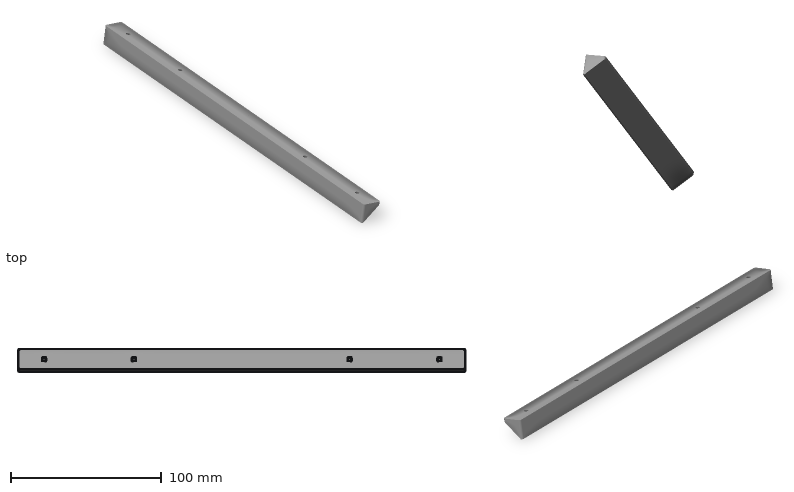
import cadquery as cq
import math

length = 297.0
depth = 15.5
height = 13.7
tilt = 8.0
rear_land = 1.8
bottom_land = 1.2
corner_radius = 1.5
hole_diameter = 3.0
hole_depth = 4.5
hole_offsets = (71.5, 131.2)

sine = math.sin(math.radians(tilt))
cosine = math.cos(math.radians(tilt))
front_width = height / cosine - bottom_land * sine / cosine
top_width = (depth - front_width * sine) / cosine


def make_bar():
    """Square-cornered wedge: the ridge lies on the origin, the body behind and below it."""
    outline = [
        (0, 0),
        (top_width, 0),
        (top_width, -rear_land),
        (bottom_land, -front_width),
        (0, -front_width),
    ]
    return cq.Workplane("YZ").polyline(outline).close().extrude(length / 2, both=True)


def round_ends(bar):
    """Round the end edges of the front face and of the rear land."""
    return bar.edges("|Z").edges("<X or >X").fillet(corner_radius)


def drill_holes(bar):
    """Blind holes square to the top face, along its middle and mirrored about mid-length."""
    centres = [(side * offset, top_width / 2) for offset in hole_offsets for side in (-1, 1)]
    drills = cq.Workplane("XY").pushPoints(centres).circle(hole_diameter / 2).extrude(-hole_depth)
    return bar.cut(drills)


bar = drill_holes(round_ends(make_bar()))

ridge_y = front_width * sine - depth / 2
result = bar.rotate((0, 0, 0), (1, 0, 0), -tilt).translate((0, ridge_y, height / 2))